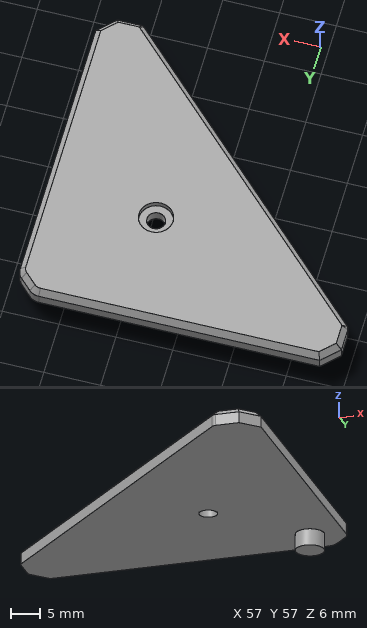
import cadquery as cq

leg_length = 57.0
total_height = 6.0
plate_thickness = 3.0
top_chamfer = 1.0

tip_cut = 3.0
right_angle_cut = 3.5
right_angle_fillet = 2.5
tip_edge_end = 7.6
tip_fillet = 1.0

hole_inset = 19.85
hole_diameter = 3.2
counterbore_diameter = 6.0
counterbore_depth = 1.0

peg_inset = 6.0
peg_diameter = 5.0
peg_length = total_height - plate_thickness


def fillet_vertical_edges(body, points, radius):
    """Round the full-height vertical edges standing at the given XY points."""
    for x, y in points:
        nearest = cq.selectors.NearestToPointSelector((x, y, plate_thickness / 2))
        body = body.edges("|Z").edges(nearest).fillet(radius)
    return body


def make_plate():
    tip_cut_end = leg_length - tip_cut
    right_angle_end = leg_length - right_angle_cut
    tip_end = leg_length - tip_edge_end
    right_angle_points = [(leg_length, right_angle_end), (right_angle_end, leg_length)]
    slope_points = [(0, tip_end), (tip_end, 0)]
    outline = [
        slope_points[0],
        slope_points[1],
        (tip_cut_end, 0),
        (leg_length, tip_cut),
        *right_angle_points,
        (tip_cut, leg_length),
        (0, tip_cut_end),
    ]
    plate = cq.Workplane("XY").polyline(outline).close().extrude(plate_thickness)
    plate = fillet_vertical_edges(plate, right_angle_points, right_angle_fillet)
    plate = fillet_vertical_edges(plate, slope_points, tip_fillet)
    return plate.faces(">Z").chamfer(top_chamfer)


def make_peg():
    centre = leg_length - peg_inset
    return cq.Workplane("XY").center(centre, centre).circle(peg_diameter / 2).extrude(-peg_length)


def drill_hole(body):
    centre = leg_length - hole_inset
    return (
        body.faces(">Z")
        .workplane(origin=(centre, centre, plate_thickness))
        .cboreHole(hole_diameter, counterbore_diameter, counterbore_depth)
    )


result = drill_hole(make_plate().union(make_peg()))